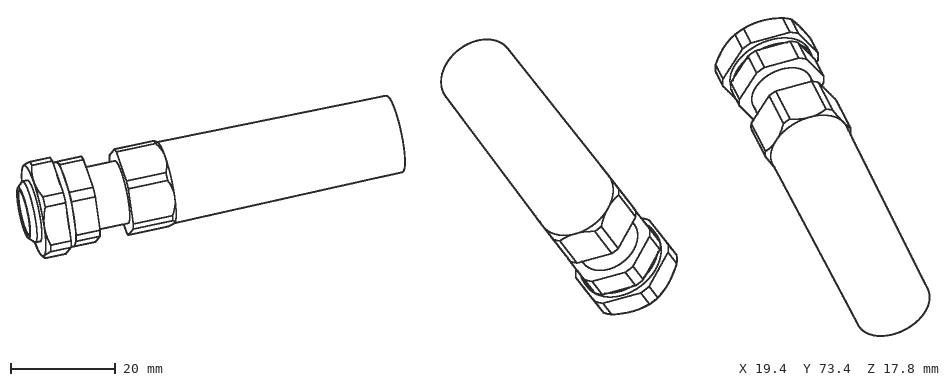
import cadquery as cq
import math

length = 73.4

nut_front = 2.0
nut_back = 6.75
collar_back = 8.1
body_hex_back = 12.8
cap_front = 19.3
cap_hex_back = 28.0

tip_diameter = 12.0
tip_chamfer = 1.0
shank_diameter = 12.2
collar_diameter = 16.5
sleeve_base_diameter = 15.85
sleeve_end_diameter = 15.0
sleeve_end_round = 0.45

nut_flats = 17.8
nut_corners = 19.45
nut_chamfer_length = 0.7
nut_face_diameter = 17.7
gland_flats = 15.8
body_hex_corners = 17.25
cap_hex_corners = 17.4
cap_chamfer_length = 0.9
cap_face_diameter = 15.85

recess_diameter = 8.8
recess_depth = 0.2


def cylinder(start, end, diameter):
    """Round bar along Y between two stations."""
    return cq.Workplane("XZ", origin=(0, start, 0)).circle(diameter / 2).extrude(start - end)


def turned(points):
    """Solid of revolution about Y from (radius, station) points."""
    return cq.Workplane("XY").polyline(points).close().revolve(360, (0, 0, 0), (0, 1, 0))


def hexagon(start, end, flats):
    """Hexagonal prism along Y with flats facing up and down."""
    corners = flats / math.cos(math.pi / 6)
    profile = cq.Workplane("XZ", origin=(0, start, 0)).polygon(6, corners)
    return profile.extrude(start - end)


def make_nut():
    blank = turned([
        (0, nut_front),
        (nut_face_diameter / 2, nut_front),
        (nut_corners / 2, nut_front + nut_chamfer_length),
        (nut_corners / 2, nut_back),
        (0, nut_back),
    ])
    return hexagon(nut_front, nut_back, nut_flats).intersect(blank)


def make_body_hex():
    blank = cylinder(collar_back, body_hex_back, body_hex_corners)
    return hexagon(collar_back, body_hex_back, gland_flats).intersect(blank)


def make_cap_hex():
    blank = turned([
        (0, cap_front),
        (cap_hex_corners / 2, cap_front),
        (cap_hex_corners / 2, cap_hex_back - cap_chamfer_length),
        (cap_face_diameter / 2, cap_hex_back),
        (0, cap_hex_back),
    ])
    return hexagon(cap_front, cap_hex_back, gland_flats).intersect(blank)


def make_sleeve():
    sleeve = turned([
        (0, cap_hex_back),
        (sleeve_base_diameter / 2, cap_hex_back),
        (sleeve_end_diameter / 2, length),
        (0, length),
    ])
    return sleeve.faces(">Y").edges().fillet(sleeve_end_round)


def make_tip():
    tip = cylinder(0, nut_back, tip_diameter).faces("<Y").chamfer(tip_chamfer)
    return tip.cut(cylinder(0, recess_depth, recess_diameter))


result = make_tip()
result = result.union(make_nut())
result = result.union(cylinder(nut_back, collar_back, collar_diameter))
result = result.union(make_body_hex())
result = result.union(cylinder(body_hex_back, cap_front, shank_diameter))
result = result.union(make_cap_hex())
result = result.union(make_sleeve())